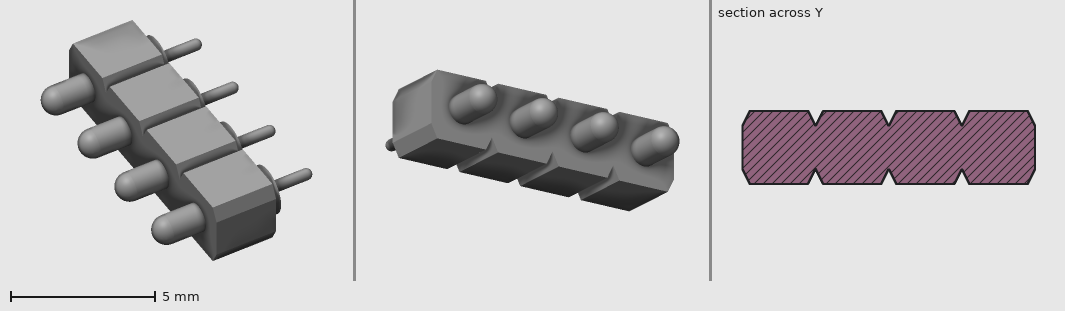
import cadquery as cq

contact_count = 4
pitch = 2.54

body_height = 2.54
body_depth = 2.39
corner_width = 0.254
corner_height = 0.508

plunger_diameter = 1.07
plunger_length = 1.80
collar_diameter = 1.83
collar_length = 0.41
tail_diameter = 0.432
overall_depth = 6.35

tail_length = overall_depth - plunger_length - body_depth - collar_length
body_front = 0
body_back = body_front + body_depth
collar_back = body_back + collar_length
contact_positions = [(i - (contact_count - 1) / 2) * pitch for i in range(contact_count)]


def body_cell(x):
    """One beveled octagonal cell; neighbouring cells meet in V notches."""
    half_width = pitch / 2
    half_height = body_height / 2
    flat_x = half_width - corner_width
    flat_z = half_height - corner_height
    outline = [
        (flat_x, half_height),
        (half_width, flat_z),
        (half_width, -flat_z),
        (flat_x, -half_height),
        (-flat_x, -half_height),
        (-half_width, -flat_z),
        (-half_width, flat_z),
        (-flat_x, half_height),
    ]
    return (
        cq.Workplane("XZ", origin=(x, body_front, 0))
        .polyline(outline)
        .close()
        .extrude(-body_depth)
    )


def rod(x, start, diameter, length, direction):
    """Plain cylinder running from y = start along direction (+1 or -1) in Y."""
    return cq.Workplane(
        cq.Solid.makeCylinder(
            diameter / 2, length, cq.Vector(x, start, 0), cq.Vector(0, direction, 0)
        )
    )


def round_ended_rod(x, start, diameter, length, direction):
    """Cylinder whose free end is a hemisphere; length includes the hemisphere."""
    radius = diameter / 2
    shank_length = length - radius
    profile = (
        cq.Workplane("XY", origin=(x, start, 0))
        .lineTo(radius, 0)
        .lineTo(radius, direction * shank_length)
        .radiusArc((0, direction * length), -direction * radius)
        .close()
    )
    return profile.revolve(360, (0, 0, 0), (0, 1, 0))


def contact(x):
    """Plunger, collar and solder tail of one contact."""
    plunger = round_ended_rod(x, body_front, plunger_diameter, plunger_length, -1)
    collar = rod(x, body_back, collar_diameter, collar_length, 1)
    tail = round_ended_rod(x, collar_back, tail_diameter, tail_length, 1)
    return plunger, collar, tail


result = body_cell(contact_positions[0])
for x in contact_positions[1:]:
    result = result.union(body_cell(x))
result = result.clean()

for x in contact_positions:
    for piece in contact(x):
        result = result.union(piece)